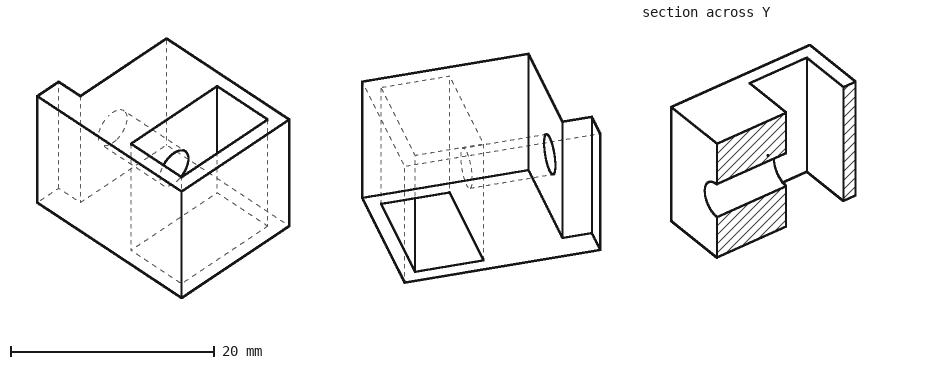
import cadquery as cq

length = 20.0
width = 15.0
height = 14.0

lip_length = 3.0
lip_thickness = 3.0

wall = 1.5
window_length = 7.0
window_width = width - 2 * wall
window_end = length - wall
window_start = window_end - window_length

hole_diameter = 4.0
hole_depth = window_start - lip_length


def body():
    """L-shaped outline extruded to the full height."""
    outline = [
        (0, 0),
        (length, 0),
        (length, width),
        (lip_length, width),
        (lip_length, lip_thickness),
        (0, lip_thickness),
    ]
    return cq.Workplane("XY").polyline(outline).close().extrude(height)


def window():
    return (
        cq.Workplane("XY")
        .box(window_length, window_width, height, centered=False)
        .translate((window_start, wall, 0))
    )


def end_hole():
    """Cylinder along X, centred on the width and height of the block."""
    return (
        cq.Workplane("YZ", origin=(lip_length, width / 2, height / 2))
        .circle(hole_diameter / 2)
        .extrude(hole_depth)
    )


result = body().cut(window()).cut(end_hole())